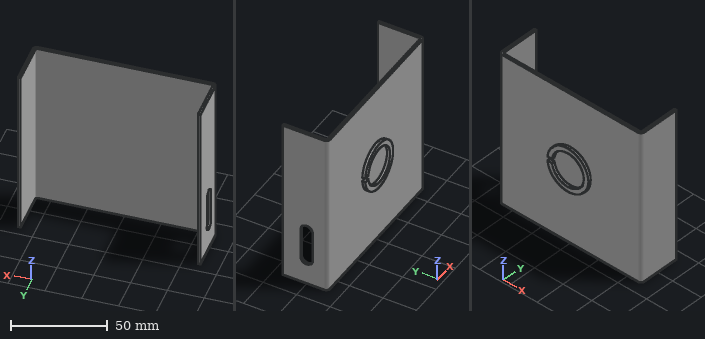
import cadquery as cq

width = 99.06
height = 99.06
overall_depth = 28.82
sheet = 1.4
inner_bend_radius = 0.8
outer_bend_radius = inner_bend_radius + sheet

ring_outer_diameter = 28.575
ring_width = 3.175
ring_inner_diameter = ring_outer_diameter - 2 * ring_width
ring_height = 1.85
ring_gap = 2.6

slot_length = 25.4
slot_width = 7.14
slot_setback = 12.7
slot_elevation = 25.4

channel_depth = overall_depth - ring_height


def make_channel():
    """Bent sheet with the outer web face on Y = 0, centred on X and Z."""
    outer = (
        cq.Workplane("XY")
        .box(width, channel_depth, height, centered=(True, False, True))
        .edges("|Z and <Y")
        .fillet(outer_bend_radius)
    )
    inner = (
        cq.Workplane("XY")
        .box(width - 2 * sheet, channel_depth, height, centered=(True, False, True))
        .edges("|Z and <Y")
        .fillet(inner_bend_radius)
        .translate((0, sheet, 0))
    )
    return outer.cut(inner)


def make_split_ring():
    """Flat ring at the centre of the web, open toward -X."""
    ring = (
        cq.Workplane("XZ")
        .circle(ring_outer_diameter / 2)
        .circle(ring_inner_diameter / 2)
        .extrude(ring_height)
    )
    gap = (
        cq.Workplane("XZ")
        .center(-ring_outer_diameter / 2, 0)
        .rect(ring_outer_diameter, ring_gap)
        .extrude(ring_height)
    )
    return ring.cut(gap)


def make_slot_cutter():
    """Round-ended slot that passes through the -X flange only."""
    return (
        cq.Workplane("YZ", origin=(-width / 2, 0, 0))
        .center(slot_setback, slot_elevation - height / 2)
        .slot2D(slot_length, slot_width, angle=90)
        .extrude(sheet)
    )


result = make_channel().union(make_split_ring()).cut(make_slot_cutter())